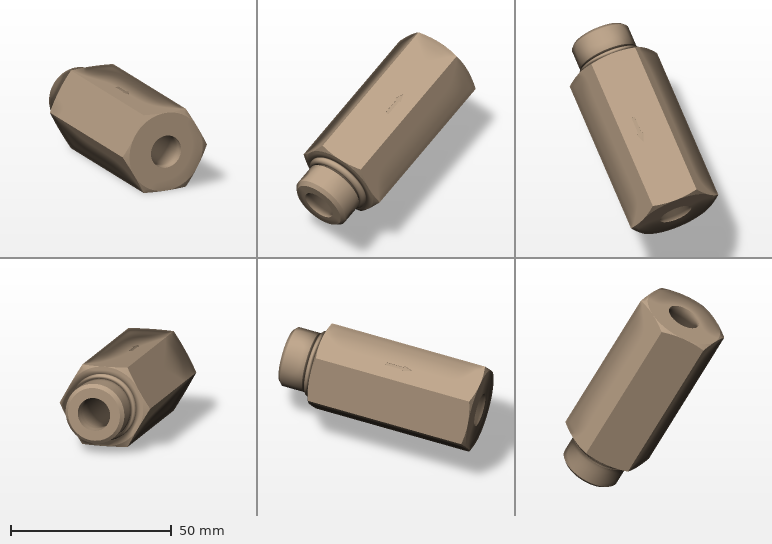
import cadquery as cq
import math

TOTAL_LENGTH = 63.5
HEX_START = 11.1

ACROSS_FLATS = 25.4
ACROSS_CORNERS = ACROSS_FLATS / math.cos(math.radians(30))
HEX_CHAMFER_LENGTH = 0.9
BORE_DIAMETER = 10.5

SPIGOT_DIAMETER = 19.05
SPIGOT_TIP_DIAMETER = 16.8
SPIGOT_TIP_CHAMFER = (SPIGOT_DIAMETER - SPIGOT_TIP_DIAMETER) / 2
GROOVE_DIAMETER = 16.8
GROOVE_LENGTH = 2.35
GROOVE_CHAMFER_LENGTH = 0.65

RING_OUTER_DIAMETER = 21.3
RING_SECTION_DIAMETER = (RING_OUTER_DIAMETER - GROOVE_DIAMETER) / 2

ARROW_START = 33.2
ARROW_LENGTH = 8.7
ARROW_Y = -2.0
ARROW_SHAFT_WIDTH = 1.1
ARROW_HEAD_LENGTH = 2.9
ARROW_HEAD_WIDTH = 2.15
ARROW_DEPTH = 0.1


def revolve_about_x(profile):
    """Turn a closed profile, drawn as (x, radius), into a solid around the X axis."""
    return profile.close().revolve(360, (0, 0, 0), (1, 0, 0))


def make_hexagon():
    """Hexagonal bar with flats facing +Z and -Z, its corners turned down at both ends."""
    bar = (
        cq.Workplane("YZ", origin=(HEX_START, 0, 0))
        .polygon(6, ACROSS_CORNERS)
        .extrude(TOTAL_LENGTH - HEX_START)
    )
    face_radius = ACROSS_FLATS / 2
    corner_radius = ACROSS_CORNERS / 2
    turned_envelope = revolve_about_x(
        cq.Workplane("XY")
        .moveTo(HEX_START, 0)
        .lineTo(HEX_START, face_radius)
        .lineTo(HEX_START + HEX_CHAMFER_LENGTH, corner_radius)
        .lineTo(TOTAL_LENGTH - HEX_CHAMFER_LENGTH, corner_radius)
        .lineTo(TOTAL_LENGTH, face_radius)
        .lineTo(TOTAL_LENGTH, 0)
    )
    return bar.intersect(turned_envelope)


def make_spigot():
    """Round spigot with a chamfered tip and a ring groove next to the hexagon."""
    tip_radius = SPIGOT_TIP_DIAMETER / 2
    spigot_radius = SPIGOT_DIAMETER / 2
    groove_radius = GROOVE_DIAMETER / 2
    groove_start = HEX_START - GROOVE_LENGTH
    return revolve_about_x(
        cq.Workplane("XY")
        .lineTo(0, tip_radius)
        .lineTo(SPIGOT_TIP_CHAMFER, spigot_radius)
        .lineTo(groove_start - GROOVE_CHAMFER_LENGTH, spigot_radius)
        .lineTo(groove_start, groove_radius)
        .lineTo(HEX_START, groove_radius)
        .lineTo(HEX_START, 0)
    )


def make_bore():
    """Through bore along X."""
    return cq.Workplane("YZ").circle(BORE_DIAMETER / 2).extrude(TOTAL_LENGTH)


def make_arrow():
    """Shallow arrow below the top flat, pointing toward +X."""
    head_start = ARROW_LENGTH - ARROW_HEAD_LENGTH
    shaft_half = ARROW_SHAFT_WIDTH / 2
    head_half = ARROW_HEAD_WIDTH / 2
    return (
        cq.Workplane("XY", origin=(ARROW_START, ARROW_Y, ACROSS_FLATS / 2))
        .moveTo(0, -shaft_half)
        .lineTo(head_start, -shaft_half)
        .lineTo(head_start, -head_half)
        .lineTo(ARROW_LENGTH, 0)
        .lineTo(head_start, head_half)
        .lineTo(head_start, shaft_half)
        .lineTo(0, shaft_half)
        .close()
        .extrude(-ARROW_DEPTH)
    )


def make_housing():
    """Hexagon and spigot in one piece, bored through and engraved."""
    return make_hexagon().union(make_spigot()).cut(make_bore()).cut(make_arrow())


def make_ring():
    """Sealing ring of round section around the groove."""
    section_radius = RING_SECTION_DIAMETER / 2
    center_radius = RING_OUTER_DIAMETER / 2 - section_radius
    return (
        cq.Workplane("XY")
        .center(HEX_START - section_radius, center_radius)
        .circle(section_radius)
        .revolve(360, (0, -center_radius, 0), (1, -center_radius, 0))
    )


housing = make_housing()
ring = make_ring()

result = cq.Compound.makeCompound([housing.val(), ring.val()])